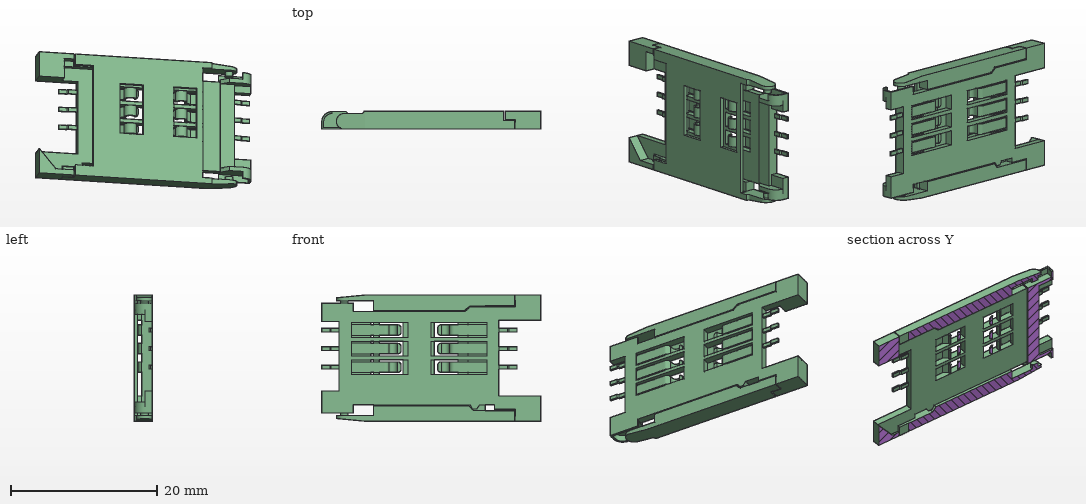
import cadquery as cq


length = 30.0
depth = 2.5
width = 17.3
half_width = width / 2

plate_depth = 1.02
rib_back = 1.47
plate_left = 2.37
plate_right = 24.27
base_edge = 6.4
base_edge_wide = 7.02
base_step_start = 19.65
base_step_end = 20.3
left_leg_end = 4.35
left_leg_top = 7.53
upper_leg_inner = 5.0
lower_leg_inner = 4.47
right_leg_inner = 5.15
shoulder_left = 26.5

bump_tip = 6.93
bump_left = 20.65
bump_right = 21.25
pocket_left = 21.63
pocket_right = 23.65

post_inner = 6.0
post_back = 2.43
post_radius = 1.45
post_chamfer = 1.02
post_lip = 0.27
post_floor = 6.6

guide_left = 25.1
guide_front = 1.32
guide_ramp_length = 2.3
square_entry = 0

contact_center = 13.38
contact_span = 5.07
contact_rows = 3
contact_pitch = contact_span / (contact_rows - 1)
contact_top_z = 3.85
contact_levels = [contact_top_z - row * contact_pitch for row in range(contact_rows)]
window_inner = 1.6
window_outer = 9.27
window_width = 2.0
ledge_length = 2.65
strip_front = 0.18
strip_thickness = 0.255
strip_back = strip_front + strip_thickness
spring_width = 1.47
spring_bend = 4.5
spring_rise = 5.13
spring_peak = 5.67
spring_tip_start = 6.27
spring_tip_end = 6.78
spring_foot_y = 0.65
spring_shoulder_y = 1.2
spring_peak_y = 1.7
spring_tip_y = 1.15
spring_tip_round = 0.48
lead_width = 0.57
lead_end = contact_center
lead_jog_outer = 12.27
lead_jog_inner = 12.1

cover_left = 7.08
cover_plate_right = 22.4
cover_plate_front = 2.0
slot_outer = 7.92
wall_right = 24.9
wall_inner = 6.55
wall_inner_narrow = 7.17
upper_wall_step_start = 19.55
upper_wall_step_end = 20.35
lower_wall_step_start = 20.15
lower_wall_step_end = 20.75
tab_right = 26.4
tab_depth = 1.23
arm_inner = 7.83
arm_back = 2.15
arm_radius = arm_back / 2
arm_left = 2.0
arm_tip_outer = 8.28
taper_end = 5.97
arm_blend = depth - arm_back
blend_right = 5.8
pin_radius = 0.55
pin_end = 7.17
pin_x = arm_left + arm_radius
opening_spans = [(7.9, 11.13), (15.42, 18.65)]


def block(x0, x1, y0, y1, z0, z1):
    """Axis-aligned box between two corners."""
    return cq.Workplane("XY").box(x1 - x0, y1 - y0, z1 - z0, centered=False).translate((x0, y0, z0))


def front_prism(points, y0, y1):
    """Closed XZ outline extruded from y0 to y1."""
    return cq.Workplane("XZ", origin=(0, y0, 0)).polyline(points).close().extrude(y0 - y1)


def mirrored_in_z(shape):
    return shape.mirror("XY")


def make_plate():
    """Flat plate with stepped edges and the latch bump and pocket on its lower edge."""
    outline = [
        (plate_left, -base_edge),
        (base_step_end, -base_edge),
        (bump_left, -bump_tip),
        (bump_right, -bump_tip),
        (pocket_left, -base_edge),
        (pocket_right, -base_edge),
        (pocket_right, -base_edge_wide),
        (plate_right, -base_edge_wide),
        (plate_right, base_edge_wide),
        (base_step_end, base_edge_wide),
        (base_step_start, base_edge),
        (plate_left, base_edge),
    ]
    return front_prism(outline, 0, plate_depth)


def make_rib():
    return block(plate_left, left_leg_end, plate_depth, rib_back, -post_inner, post_inner)


def cut_contact_windows(plate):
    """Through window per contact, with a ledge left behind the fixed end of each spring."""
    for side in (-1, 1):
        for z in contact_levels:
            z0 = z - window_width / 2
            z1 = z + window_width / 2
            inner = contact_center + side * window_inner
            outer = contact_center + side * window_outer
            ledge_end = outer - side * ledge_length
            plate = plate.cut(block(min(inner, outer), max(inner, outer), 0, strip_back, z0, z1))
            plate = plate.cut(block(min(inner, ledge_end), max(inner, ledge_end), 0, plate_depth, z0, z1))
    return plate


def make_left_post():
    """Upper hinge post: rounded outer corner, chamfered inner corner and an open recess on top."""
    post = block(0, left_leg_end, 0, post_back, post_inner, left_leg_top)
    post = post.edges("|Z and <X and >Y").fillet(post_radius)
    post = post.edges("|Z and >X and >Y").chamfer(post_chamfer)

    lip_back = post_back - post_lip
    recess = block(post_lip, left_leg_end, post_lip, lip_back, post_floor, left_leg_top)
    recess = recess.edges("|Z and <X and >Y").fillet(post_radius - post_lip)
    back_exit = block(post_radius, left_leg_end, post_lip, post_back, post_floor, left_leg_top)
    return post.cut(recess).cut(back_exit)


def make_left_leg(inner_z):
    """Upper left leg, reaching from inner_z to the outer side, with its hinge post."""
    post = make_left_post()
    front = block(0, left_leg_end, 0, plate_depth, inner_z, post_floor)
    return post.union(front)


def make_right_leg(ramp_length):
    """Upper right leg with a card guide; its entry face slopes over ramp_length, or is square at 0."""
    layer_outline = [
        (plate_right, right_leg_inner),
        (length, right_leg_inner),
        (length, half_width),
        (shoulder_left, half_width),
        (shoulder_left, base_edge_wide),
        (plate_right, base_edge_wide),
    ]
    layer = front_prism(layer_outline, 0, plate_depth)
    guide_outline = [
        (length, right_leg_inner),
        (length, half_width),
        (shoulder_left, half_width),
    ]
    if ramp_length > 0:
        guide_outline += [(shoulder_left, slot_outer), (length - ramp_length, slot_outer)]
    else:
        guide_outline += [(shoulder_left, right_leg_inner)]
    guide = front_prism(guide_outline, plate_depth, depth)
    overlap = block(guide_left, shoulder_left, guide_front, depth, slot_outer, half_width)
    return layer.union(guide).union(overlap)


def make_contact(z):
    """Right-hand contact: spring with a rounded tip, and a soldering lead with a small jog."""
    root = contact_center + window_outer
    bend = root - spring_bend
    rise = root - spring_rise
    peak = root - spring_peak
    tip_start = root - spring_tip_start
    tip_end = root - spring_tip_end
    t = strip_thickness
    spring = (
        cq.Workplane("XY", origin=(0, 0, z - spring_width / 2))
        .moveTo(root, strip_front)
        .lineTo(bend, strip_front)
        .tangentArcPoint((rise, spring_foot_y), relative=False)
        .lineTo(rise, spring_shoulder_y)
        .threePointArc((peak, spring_peak_y), (tip_start, spring_tip_y))
        .lineTo(tip_end, spring_tip_y)
        .lineTo(tip_end, spring_tip_y + t)
        .lineTo(tip_start - t, spring_tip_y + t)
        .threePointArc((peak, spring_peak_y + t), (rise + t, spring_shoulder_y))
        .lineTo(rise + t, spring_foot_y + t)
        .lineTo(bend + t, strip_back)
        .lineTo(root, strip_back)
        .close()
        .extrude(spring_width)
        .edges("|Y and <X")
        .fillet(spring_tip_round)
    )

    lead_outline = [
        (plate_right, strip_front),
        (contact_center + lead_jog_inner, strip_front),
        (contact_center + lead_jog_outer, 0),
        (contact_center + lead_end, 0),
        (contact_center + lead_end, t),
        (contact_center + lead_jog_outer, t),
        (contact_center + lead_jog_inner, strip_back),
        (plate_right, strip_back),
    ]
    lead = (
        cq.Workplane("XY", origin=(0, 0, z - lead_width / 2))
        .polyline(lead_outline)
        .close()
        .extrude(lead_width)
    )
    return spring, lead


def make_base():
    base = cut_contact_windows(make_plate())
    base = base.union(make_rib())
    base = base.union(make_left_leg(upper_leg_inner))
    base = base.union(mirrored_in_z(make_left_leg(lower_leg_inner)))
    base = base.union(make_right_leg(square_entry))
    base = base.union(mirrored_in_z(make_right_leg(guide_ramp_length)))
    for z in contact_levels:
        for piece in make_contact(z):
            base = base.union(piece)
            base = base.union(piece.mirror("YZ", (contact_center, 0, 0)))
    return base


def make_hinge_arm():
    """Upper arm: round end, tapered outer side, blend into the wall and a hinge pin."""
    blend_left = blend_right - arm_blend
    profile = (
        cq.Workplane("XY", origin=(0, 0, arm_inner))
        .moveTo(pin_x, 0)
        .lineTo(cover_left, 0)
        .lineTo(cover_left, depth)
        .lineTo(blend_right, depth)
        .radiusArc((blend_left, arm_back), arm_blend)
        .lineTo(pin_x, arm_back)
        .threePointArc((arm_left, arm_radius), (pin_x, 0))
        .close()
        .extrude(half_width - arm_inner)
    )
    taper = front_prism(
        [(arm_left, arm_tip_outer), (taper_end, half_width), (arm_left, half_width)], 0, depth
    )
    pin = (
        cq.Workplane("XY", origin=(pin_x, arm_radius, pin_end))
        .circle(pin_radius)
        .extrude(arm_inner - pin_end)
    )
    return profile.cut(taper).union(pin)


def make_side_wall(step_start, step_end):
    """Upper side wall with a stepped inner face, a thin front tab and the hinge arm."""
    outline = [
        (cover_left, wall_inner),
        (step_start, wall_inner),
        (step_end, wall_inner_narrow),
        (wall_right, wall_inner_narrow),
        (wall_right, half_width),
        (cover_left, half_width),
    ]
    wall = front_prism(outline, 0, depth)
    tab = block(wall_right, tab_right, 0, tab_depth, wall_inner_narrow, half_width)
    groove = block(cover_left, wall_right, rib_back, cover_plate_front, wall_inner, slot_outer)
    return wall.cut(groove).union(tab).union(make_hinge_arm().cut(groove))


def make_cover():
    cover = block(
        cover_left, cover_plate_right, cover_plate_front, depth, -wall_inner_narrow, wall_inner_narrow
    )
    opening_top = contact_levels[0] + window_width / 2
    opening_bottom = contact_levels[-1] - window_width / 2
    for x0, x1 in opening_spans:
        cover = cover.cut(block(x0, x1, cover_plate_front, depth, opening_bottom, opening_top))
    cover = cover.union(make_side_wall(upper_wall_step_start, upper_wall_step_end))
    return cover.union(mirrored_in_z(make_side_wall(lower_wall_step_start, lower_wall_step_end)))


base = make_base()
cover = make_cover()

result = cq.Compound.makeCompound([base.solids().val(), cover.solids().val()])